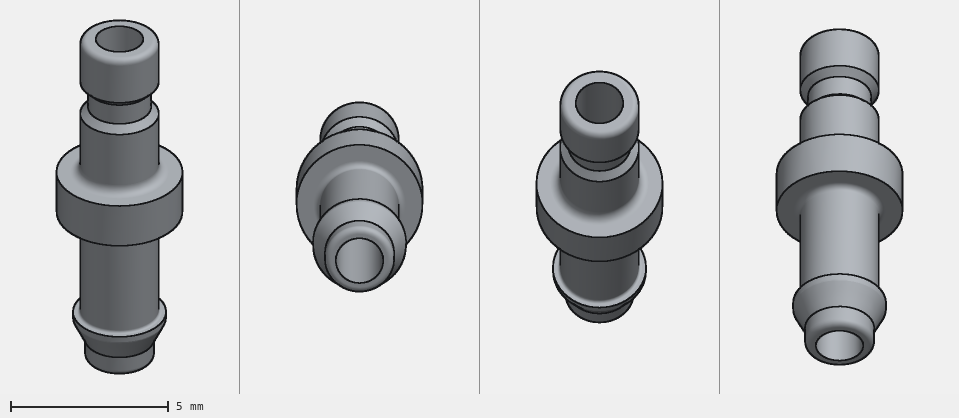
import cadquery as cq
import math

total_length = 12.0
bore_radius = 1.5 / 2
neck_radius = 2.0 / 2
tip_radius = 2.2 / 2
stem_radius = 2.5 / 2
barb_radius = 2.95 / 2
flange_radius = 4.0 / 2

cone_bottom = 0.71
barb_edge = 1.5
barb_top = 1.73
flange_bottom = 5.5
flange_top = 7.0
groove_bottom = 9.2
groove_top = 10.4

end_round = 0.2
barb_root_fillet = 0.1
barb_edge_round = 0.11
flange_lower_fillet = 0.2
flange_upper_fillet = 0.3

groove_slope = stem_radius - neck_radius


def cylinder(radius, bottom, top):
    return cq.Workplane("XY").workplane(offset=bottom).circle(radius).extrude(top - bottom)


def cone(bottom_radius, top_radius, bottom, top):
    profile = [(0, bottom), (bottom_radius, bottom), (top_radius, top), (0, top)]
    return cq.Workplane("XZ").polyline(profile).close().revolve(360, (0, 0), (0, 1))


def root_fillet(radius, shoulder, direction):
    """Concave ring joining the stem to a shoulder; direction is +1 above it, -1 below it."""
    diagonal = radius * (1 - math.sqrt(0.5))
    return (
        cq.Workplane("XZ")
        .moveTo(0, shoulder)
        .lineTo(stem_radius + radius, shoulder)
        .threePointArc(
            (stem_radius + diagonal, shoulder + direction * diagonal),
            (stem_radius, shoulder + direction * radius),
        )
        .lineTo(0, shoulder + direction * radius)
        .close()
        .revolve(360, (0, 0), (0, 1))
    )


tip = cylinder(tip_radius, 0, cone_bottom).faces("<Z").edges().fillet(end_round)
barb = cone(tip_radius, barb_radius, cone_bottom, barb_edge)
barb = barb.union(cylinder(barb_radius, barb_edge, barb_top))
barb_corner = cq.selectors.BoxSelector(
    (-flange_radius, -flange_radius, barb_edge - barb_edge_round),
    (flange_radius, flange_radius, barb_edge + barb_edge_round),
)
barb = barb.edges("%CIRCLE").edges(barb_corner).fillet(barb_edge_round)

stem = cylinder(stem_radius, barb_top, total_length).faces(">Z").edges().fillet(end_round)
flange = cylinder(flange_radius, flange_bottom, flange_top)

neck_bottom = groove_bottom + groove_slope
neck_top = groove_top - groove_slope
neck = cone(stem_radius, neck_radius, groove_bottom, neck_bottom)
neck = neck.union(cylinder(neck_radius, neck_bottom, neck_top))
neck = neck.union(cone(neck_radius, stem_radius, neck_top, groove_top))
stem = stem.cut(cylinder(stem_radius, groove_bottom, groove_top)).union(neck)

result = tip.union(barb).union(stem).union(flange)
result = result.union(root_fillet(barb_root_fillet, barb_top, 1))
result = result.union(root_fillet(flange_lower_fillet, flange_bottom, -1))
result = result.union(root_fillet(flange_upper_fillet, flange_top, 1))

result = result.cut(cylinder(bore_radius, 0, total_length))